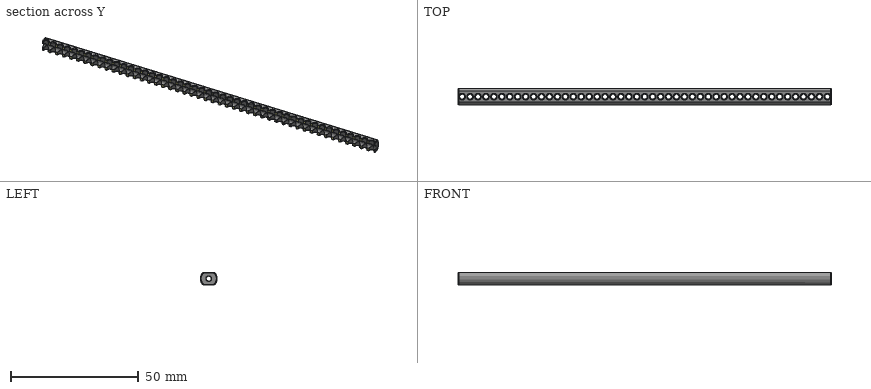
import cadquery as cq

hole_count = 47
hole_pitch = 3.125
rod_diameter = 6.6
thickness = 5.0
cross_hole_diameter = 2.0
countersink_depth = 0.3
bore_diameter = 2.0
end_chamfer = 0.3

length = hole_count * hole_pitch


def flattened_rod():
    """Round rod along X, centred on the origin, with flats on +Z and -Z and chamfered ends."""
    rod = cq.Workplane("YZ").circle(rod_diameter / 2).extrude(length / 2, both=True)
    flats_envelope = cq.Workplane("XY").box(length, rod_diameter, thickness)
    return rod.intersect(flats_envelope).faces("<X or >X").chamfer(end_chamfer)


def lengthwise_bore():
    """Central bore running from end to end."""
    return cq.Workplane("YZ").circle(bore_diameter / 2).extrude(length / 2, both=True)


def cross_hole():
    """One hole through both flats, with a 45 degree countersink at each flat."""
    radius = cross_hole_diameter / 2
    mouth_radius = radius + countersink_depth
    half_thickness = thickness / 2
    countersink_start = half_thickness - countersink_depth
    half_profile = [
        (0, -half_thickness),
        (mouth_radius, -half_thickness),
        (radius, -countersink_start),
        (radius, countersink_start),
        (mouth_radius, half_thickness),
        (0, half_thickness),
    ]
    return cq.Workplane("XZ").polyline(half_profile).close().revolve(360, (0, 0), (0, 1))


def cross_holes():
    """Row of cross holes evenly spaced along the rod."""
    hole = cross_hole().val()
    return (
        cq.Workplane("XY")
        .rarray(hole_pitch, 1, hole_count, 1)
        .eachpoint(lambda location: hole.located(location))
    )


result = flattened_rod().cut(lengthwise_bore()).cut(cross_holes())